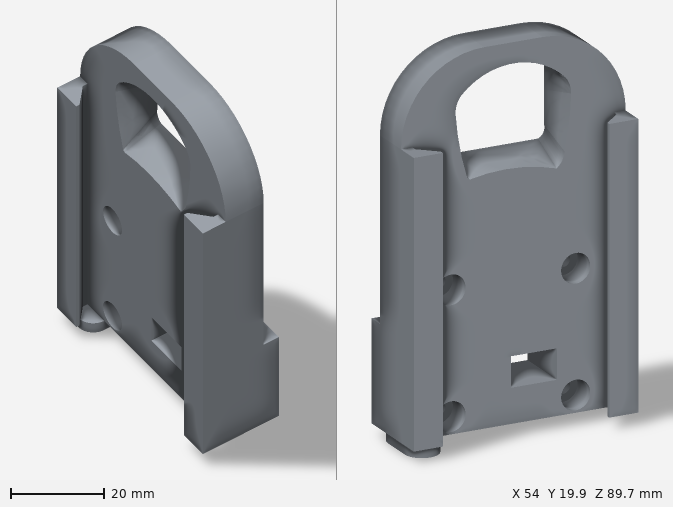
import cadquery as cq
import math


plate_width = 54.0
plate_thickness = 10.0
plate_height = 86.9
corner_radius = 20.0
block_thickness = 3.95
block_height = 23.95

rail_depth = 6.0
rail_height = 66.9
rail_wall = 2.8
rail_lip_reach = 7.0
rail_lip_thickness = 0.9
rail_neck = 1.3

hole_diameter = 3.4
counterbore_diameter = 7.0
counterbore_depth = 6.0
hole_spacing_x = 30.0
lower_hole_z = 4.0
upper_hole_z = 32.9

window_width = 11.1
window_height = 7.2
window_center_x = 4.9
window_center_z = 11.8

total_height = 89.7
foot_width = 8.0
foot_length = 16.0
foot_center_x = -22.1

opening_top = 82.1
shoulder_x = 12.5
shoulder_z = 76.9
back_bottom = 59.9
back_corner_width = 1.4
back_corner_height = 2.9

half_width = plate_width / 2
plate_front = rail_depth
plate_back = plate_front + plate_thickness
total_depth = plate_back + block_thickness
foot_height = total_height - plate_height


def box_between(x_range, y_range, z_range):
    """Axis-aligned box given by its low and high limits."""
    lows, highs = zip(x_range, y_range, z_range)
    sizes = [high - low for low, high in zip(lows, highs)]
    return cq.Workplane("XY").box(*sizes, centered=False).translate(lows)


def make_plate():
    """Plate with two large rounded upper corners."""
    plate = box_between((-half_width, half_width), (plate_front, plate_back), (0, plate_height))
    return plate.edges("|Y and >Z").fillet(corner_radius)


def make_rail():
    """Left dovetail rail, undercut on its inner side."""
    return (
        cq.Workplane("XY")
        .moveTo(-half_width, 0)
        .lineTo(-half_width + rail_lip_reach, 0)
        .lineTo(-half_width + rail_lip_reach, rail_lip_thickness)
        .lineTo(-half_width + rail_wall, plate_front - rail_neck)
        .lineTo(-half_width + rail_wall, plate_front)
        .lineTo(-half_width, plate_front)
        .close()
        .extrude(rail_height)
    )


def front_opening_wire():
    """Hand-shaped front outline: domed top, tapering sides and a bowed bottom."""
    shoulder_mid_x = 13.45
    shoulder_mid_z = 75.3
    left_side = (-13.9, 72.9)
    left_foot = (-11.0, 57.6)
    bottom_left = (-10.5, 57.3)
    bottom_right = (10.4, 56.4)
    right_foot = (12.3, 60.0)
    right_side = (13.9, 72.9)
    left_side_mid = (-13.0, 65.7)
    right_side_mid = (13.45, 66.8)
    right_corner_mid = (11.5, 57.6)
    bottom_mid = (0, 58.2)
    return (
        cq.Workplane("XZ", origin=(0, plate_front, 0))
        .moveTo(-shoulder_x, shoulder_z)
        .threePointArc((0, opening_top), (shoulder_x, shoulder_z))
        .threePointArc((shoulder_mid_x, shoulder_mid_z), right_side)
        .threePointArc(right_side_mid, right_foot)
        .threePointArc(right_corner_mid, bottom_right)
        .threePointArc(bottom_mid, bottom_left)
        .lineTo(*left_foot)
        .threePointArc(left_side_mid, left_side)
        .threePointArc((-shoulder_mid_x, shoulder_mid_z), (-shoulder_x, shoulder_z))
        .close()
        .val()
    )


def back_opening_wire():
    """Back outline: the same domed top, with straight sides and a flat bottom."""
    side_split_z = 70.9
    arc_inset = 1 - math.sqrt(0.5)
    corner_z = back_bottom + back_corner_height
    corner_x = shoulder_x - back_corner_width
    bulge_x = shoulder_x - arc_inset * back_corner_width
    bulge_z = back_bottom + arc_inset * back_corner_height
    return (
        cq.Workplane("XZ", origin=(0, plate_back, 0))
        .moveTo(-shoulder_x, shoulder_z)
        .threePointArc((0, opening_top), (shoulder_x, shoulder_z))
        .lineTo(shoulder_x, side_split_z)
        .lineTo(shoulder_x, corner_z)
        .threePointArc((bulge_x, bulge_z), (corner_x, back_bottom))
        .lineTo(-corner_x, back_bottom)
        .threePointArc((-bulge_x, bulge_z), (-shoulder_x, corner_z))
        .lineTo(-shoulder_x, side_split_z)
        .lineTo(-shoulder_x, shoulder_z)
        .close()
        .val()
    )


def make_finger_opening():
    """Opening that blends from the front outline to the back outline."""
    return cq.Solid.makeLoft([front_opening_wire(), back_opening_wire()], True)


def make_screw_hole(x, z):
    """Through hole with a counterbore sunk into the front of the plate."""
    front = cq.Workplane("XZ", origin=(x, plate_front, z))
    through = front.circle(hole_diameter / 2).extrude(plate_front - total_depth)
    counterbore = front.circle(counterbore_diameter / 2).extrude(-counterbore_depth)
    return through.union(counterbore)


def make_window():
    """Rectangular window through the plate and the back block."""
    return (
        cq.Workplane("XZ", origin=(window_center_x, plate_front, window_center_z))
        .rect(window_width, window_height)
        .extrude(plate_front - total_depth)
    )


def make_holder():
    """Plate, back block and rails in one piece, with all openings cut."""
    block = box_between((-half_width, half_width), (plate_back, total_depth), (0, block_height))
    left_rail = make_rail()
    holder = make_plate().union(block).union(left_rail).union(left_rail.mirror("YZ"))
    holder = holder.cut(cq.Workplane(make_finger_opening()))
    for x in (-hole_spacing_x / 2, hole_spacing_x / 2):
        for z in (lower_hole_z, upper_hole_z):
            holder = holder.cut(make_screw_hole(x, z))
    return holder.cut(make_window())


def make_foot():
    """Round-ended foot resting against the underside of the holder."""
    return (
        cq.Workplane("XY", origin=(foot_center_x, total_depth / 2, 0))
        .slot2D(foot_length, foot_width, 90)
        .extrude(-foot_height)
    )


holder = make_holder()
foot = make_foot()
result = cq.Compound.makeCompound([holder.val(), foot.val()])